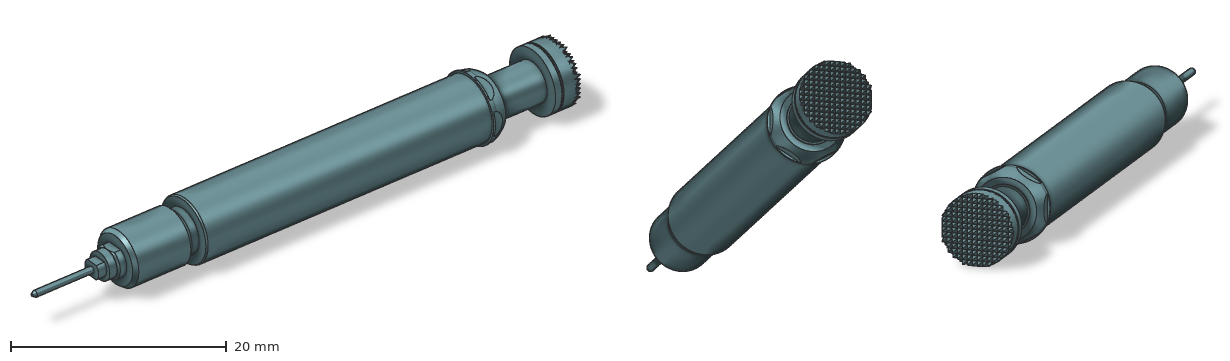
import cadquery as cq
import math

OVERALL_LENGTH = 61.8

BARREL_DIAMETER = 7.0
BARREL_LENGTH = 33.5
BARREL_CHAMFER_LENGTH = 0.2
BARREL_FRONT_DIAMETER = 6.8

WASHER_DIAMETER = 7.5
WASHER_THICKNESS = 0.2
NUT_ACROSS_FLATS = 7.0
NUT_HEIGHT = 1.75
NUT_FACE_DIAMETER = 6.1
NUT_CROWN_HEIGHT = 1.45
NUT_CROWN_MIDDLE_DIAMETER = 7.0
NUT_BOSS_DIAMETER = 4.8
NUT_BOSS_HEIGHT = 0.15

STEM_DIAMETER = 4.4
STEM_LENGTH = 5.35
HEAD_DIAMETER = 7.0
HEAD_LENGTH = 3.1
HEAD_GROOVE_DEPTH = 0.1
HEAD_GROOVE_WIDTH = 0.2
HEAD_RIM_WIDTH = 0.8
TOOTH_PITCH = 0.5
TOOTH_DEPTH = 0.7

NECK_DIAMETER = 4.8
NECK_LENGTH = 0.85
COLLAR_DIAMETER = 6.0
COLLAR_BACK_CHAMFER = (COLLAR_DIAMETER - NECK_DIAMETER) / 2
COLLAR_LENGTH = 7.15
COLLAR_FRONT_CHAMFER_LENGTH = 0.45
COLLAR_FRONT_DIAMETER = 5.3

NOSE_DIAMETER = 3.5
NOSE_ACROSS_FLATS = 3.06
NOSE_LENGTH = 0.95
NOSE_CHAMFER = 0.2
RING_DIAMETER = 3.0
RING_LENGTH = 0.85
STUD_DIAMETER = 2.1
STUD_ACROSS_FLATS = 1.6
STUD_LENGTH = 0.95

PIN_DIAMETER = 0.7
PIN_TIP_DIAMETER = 0.3
PIN_TIP_LENGTH = 0.35

washer_top = WASHER_THICKNESS
nut_top = washer_top + NUT_HEIGHT
boss_top = nut_top + NUT_BOSS_HEIGHT
head_base = boss_top + STEM_LENGTH
head_top = head_base + HEAD_LENGTH

barrel_front = -BARREL_LENGTH
collar_back = barrel_front - NECK_LENGTH
collar_front = collar_back - COLLAR_LENGTH
nose_front = collar_front - NOSE_LENGTH
ring_front = nose_front - RING_LENGTH
stud_front = ring_front - STUD_LENGTH
pin_front = head_top - OVERALL_LENGTH


def turned(*profile):
    """Solid of revolution about Y from (diameter, y) pairs, listed in order along Y."""
    first_y = profile[0][1]
    last_y = profile[-1][1]
    outline = [(0, first_y)]
    outline += [(diameter / 2, y) for diameter, y in profile]
    outline += [(0, last_y)]
    return cq.Workplane("XY").polyline(outline).close().revolve(360, (0, 0, 0), (0, 1, 0))


def cylinder(diameter, y_start, y_end):
    return turned((diameter, y_start), (diameter, y_end))


def flatted(body, across_flats):
    """Keeps the part of a body between two flats that face +Z and -Z."""
    flats = cq.Workplane("XY").box(OVERALL_LENGTH, 2 * OVERALL_LENGTH, across_flats)
    return body.intersect(flats)


def make_barrel():
    return turned(
        (BARREL_DIAMETER, 0),
        (BARREL_DIAMETER, barrel_front + BARREL_CHAMFER_LENGTH),
        (BARREL_FRONT_DIAMETER, barrel_front),
    )


def make_nut_envelope():
    """Turned outline of the nut: straight at the washer diameter, then an arc in to the rear face."""
    crown_base = nut_top - NUT_CROWN_HEIGHT
    crown_middle = nut_top - NUT_CROWN_HEIGHT / 2
    return (
        cq.Workplane("XY")
        .moveTo(0, washer_top)
        .lineTo(WASHER_DIAMETER / 2, washer_top)
        .lineTo(WASHER_DIAMETER / 2, crown_base)
        .threePointArc((NUT_CROWN_MIDDLE_DIAMETER / 2, crown_middle), (NUT_FACE_DIAMETER / 2, nut_top))
        .lineTo(0, nut_top)
        .close()
        .revolve(360, (0, 0, 0), (0, 1, 0))
    )


def make_nut():
    """Hexagon with corners toward +Z and -Z, trimmed by the turned outline, plus washer face and boss."""
    corner_diameter = NUT_ACROSS_FLATS / math.cos(math.radians(30))
    hexagon = (
        cq.Workplane("XZ", origin=(0, washer_top, 0))
        .transformed(rotate=(0, 0, 30))
        .polygon(6, corner_diameter)
        .extrude(-NUT_HEIGHT)
    )
    washer = cylinder(WASHER_DIAMETER, 0, washer_top)
    boss = cylinder(NUT_BOSS_DIAMETER, nut_top, boss_top)
    return hexagon.intersect(make_nut_envelope()).union(washer).union(boss)


def make_crown_cutter():
    """Space above a row of V-grooves that run along Z, one groove per tooth pitch."""
    tooth_count = round(HEAD_DIAMETER / TOOTH_PITCH)
    row_half = tooth_count * TOOTH_PITCH / 2
    valley_y = head_top - TOOTH_DEPTH
    clear_y = head_top + TOOTH_DEPTH
    outline = [(-row_half, clear_y), (-row_half, valley_y)]
    for tooth in range(tooth_count):
        valley_x = -row_half + tooth * TOOTH_PITCH
        outline.append((valley_x + TOOTH_PITCH / 2, head_top))
        outline.append((valley_x + TOOTH_PITCH, valley_y))
    outline.append((row_half, clear_y))
    return cq.Workplane("XY").polyline(outline).close().extrude(HEAD_DIAMETER, both=True)


def make_head():
    """Grooved disc whose rear face is cut into a grid of pyramids by two crossed sets of V-grooves."""
    groove_start = head_base + HEAD_RIM_WIDTH
    groove_end = groove_start + HEAD_GROOVE_WIDTH
    groove_diameter = HEAD_DIAMETER - 2 * HEAD_GROOVE_DEPTH
    disc = turned(
        (HEAD_DIAMETER, head_base),
        (HEAD_DIAMETER, groove_start),
        (groove_diameter, groove_start),
        (groove_diameter, groove_end),
        (HEAD_DIAMETER, groove_end),
        (HEAD_DIAMETER, head_top),
    )
    cutter = make_crown_cutter()
    crossed_cutter = cutter.rotate((0, 0, 0), (0, 1, 0), 90)
    return disc.cut(cutter).cut(crossed_cutter)


def make_collar():
    """Neck and chamfered collar in front of the barrel."""
    return turned(
        (NECK_DIAMETER, barrel_front),
        (NECK_DIAMETER, collar_back),
        (COLLAR_DIAMETER, collar_back - COLLAR_BACK_CHAMFER),
        (COLLAR_DIAMETER, collar_front + COLLAR_FRONT_CHAMFER_LENGTH),
        (COLLAR_FRONT_DIAMETER, collar_front),
    )


def make_nose():
    """Round nose with two flats and a chamfered front edge."""
    body = turned(
        (NOSE_DIAMETER, collar_front),
        (NOSE_DIAMETER, nose_front + NOSE_CHAMFER),
        (NOSE_DIAMETER - 2 * NOSE_CHAMFER, nose_front),
    )
    return flatted(body, NOSE_ACROSS_FLATS)


def make_stud():
    return flatted(cylinder(STUD_DIAMETER, ring_front, stud_front), STUD_ACROSS_FLATS)


def make_pin():
    return turned(
        (PIN_DIAMETER, stud_front),
        (PIN_DIAMETER, pin_front + PIN_TIP_LENGTH),
        (PIN_TIP_DIAMETER, pin_front),
    )


stem = cylinder(STEM_DIAMETER, boss_top, head_base)
ring = cylinder(RING_DIAMETER, nose_front, ring_front)

result = (
    make_barrel()
    .union(make_nut())
    .union(stem)
    .union(make_head())
    .union(make_collar())
    .union(make_nose())
    .union(ring)
    .union(make_stud())
    .union(make_pin())
)